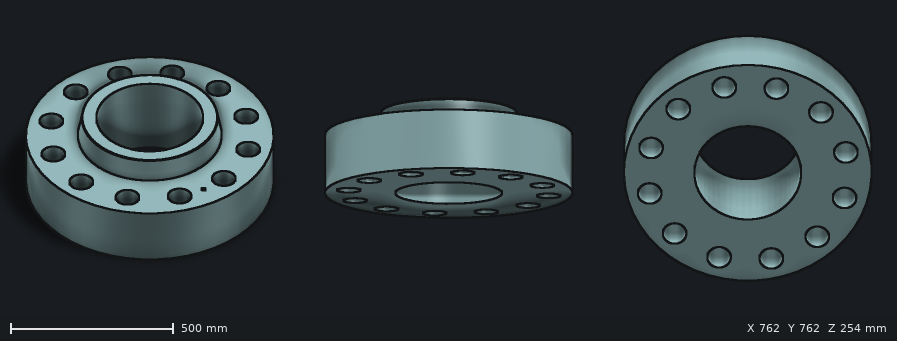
import cadquery as cq

flange_diameter = 762.0
flange_thickness = 183.5
bore_diameter = 328.0

total_height = 254.0
hub_base_diameter = 442.5
hub_top_diameter = 417.5
hub_band_height = 2.0
hub_chamfer_height = 2.0
hub_chamfer_width = 1.5

bolt_count = 12
bolt_circle_diameter = 620.0
bolt_hole_diameter = 72.0

bolt_pitch_angle = 360 / bolt_count
pin_hole_angle = bolt_pitch_angle / 2
pin_hole_diameter = 13.0
pin_hole_depth = 4.0
pin_pilot_diameter = 7.0
pin_pilot_depth = 23.0


def make_body():
    """Revolve the half section of the flange and hub about the Z axis."""
    bore_radius = bore_diameter / 2
    flange_radius = flange_diameter / 2
    hub_base_radius = hub_base_diameter / 2
    hub_top_radius = hub_top_diameter / 2
    return (
        cq.Workplane("XZ")
        .moveTo(bore_radius, 0)
        .lineTo(flange_radius, 0)
        .lineTo(flange_radius, flange_thickness)
        .lineTo(hub_base_radius, flange_thickness)
        .lineTo(hub_base_radius, flange_thickness + hub_band_height)
        .lineTo(hub_top_radius, total_height - hub_chamfer_height)
        .lineTo(hub_top_radius - hub_chamfer_width, total_height)
        .lineTo(bore_radius, total_height)
        .close()
        .revolve(360, (0, 0, 0), (0, 1, 0))
    )


def make_bolt_circle_holes(diameter, depth, start_angle, count):
    """Cylinders that sink from the top face of the flange, spread evenly around the bolt circle."""
    return (
        cq.Workplane("XY", origin=(0, 0, flange_thickness))
        .polarArray(bolt_circle_diameter / 2, start_angle, 360, count)
        .circle(diameter / 2)
        .extrude(-depth)
    )


bolt_holes = make_bolt_circle_holes(bolt_hole_diameter, flange_thickness, 0, bolt_count)
pin_hole = make_bolt_circle_holes(pin_hole_diameter, pin_hole_depth, pin_hole_angle, 1)
pin_pilot = make_bolt_circle_holes(pin_pilot_diameter, pin_pilot_depth, pin_hole_angle, 1)

result = make_body().cut(bolt_holes).cut(pin_hole).cut(pin_pilot)